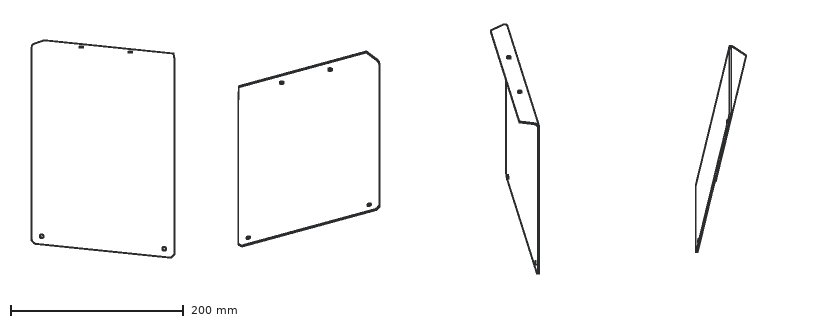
import cadquery as cq
import math

width = 174.8
depth = 22.0
height = 241.0
thickness = 2.0

bend_inner_radius = 4.0
bend_outer_radius = bend_inner_radius + thickness

taper_start = thickness
taper_angle = 22.5
taper_inset = (depth - taper_start) * math.tan(math.radians(taper_angle))

corner_chamfer = 4.0

panel_hole_diameter = 4.5
panel_hole_spacing = 150.0
panel_hole_height = 10.0

flange_hole_diameter = 4.8
flange_hole_spacing = 60.0
flange_hole_edge_distance = 11.0


def bent_sheet():
    """L-shaped sheet: front face at Y = 0, lower edge at Z = 0, centred on X."""
    return (
        cq.Workplane("YZ")
        .moveTo(0, 0)
        .lineTo(0, height - bend_outer_radius)
        .radiusArc((bend_outer_radius, height), bend_outer_radius)
        .lineTo(depth, height)
        .lineTo(depth, height - thickness)
        .lineTo(bend_outer_radius, height - thickness)
        .radiusArc((thickness, height - bend_outer_radius), -bend_inner_radius)
        .lineTo(thickness, 0)
        .close()
        .extrude(width / 2, both=True)
    )


def flange_outline():
    """Plan outline, tapered towards the rear edge, over the full height."""
    half_front = width / 2
    half_rear = half_front - taper_inset
    return (
        cq.Workplane("XY")
        .polyline([
            (-half_front, 0),
            (half_front, 0),
            (half_front, taper_start),
            (half_rear, depth),
            (-half_rear, depth),
            (-half_front, taper_start),
        ])
        .close()
        .extrude(height)
    )


def panel_outline():
    """Front outline with chamfered lower corners, over the full depth."""
    return (
        cq.Workplane("XY")
        .box(width, depth, height, centered=(True, False, False))
        .edges("|Y and <Z")
        .chamfer(corner_chamfer)
    )


def panel_holes():
    """Cutters along Y through the upright panel."""
    half_spacing = panel_hole_spacing / 2
    return (
        cq.Workplane("XZ")
        .pushPoints([(side * half_spacing, panel_hole_height) for side in (-1, 1)])
        .circle(panel_hole_diameter / 2)
        .extrude(-thickness)
    )


def flange_holes():
    """Cutters along Z through the top flange."""
    half_spacing = flange_hole_spacing / 2
    hole_y = depth - flange_hole_edge_distance
    return (
        cq.Workplane("XY", origin=(0, 0, height - thickness))
        .pushPoints([(side * half_spacing, hole_y) for side in (-1, 1)])
        .circle(flange_hole_diameter / 2)
        .extrude(thickness)
    )


result = (
    bent_sheet()
    .intersect(flange_outline())
    .intersect(panel_outline())
    .cut(panel_holes())
    .cut(flange_holes())
)